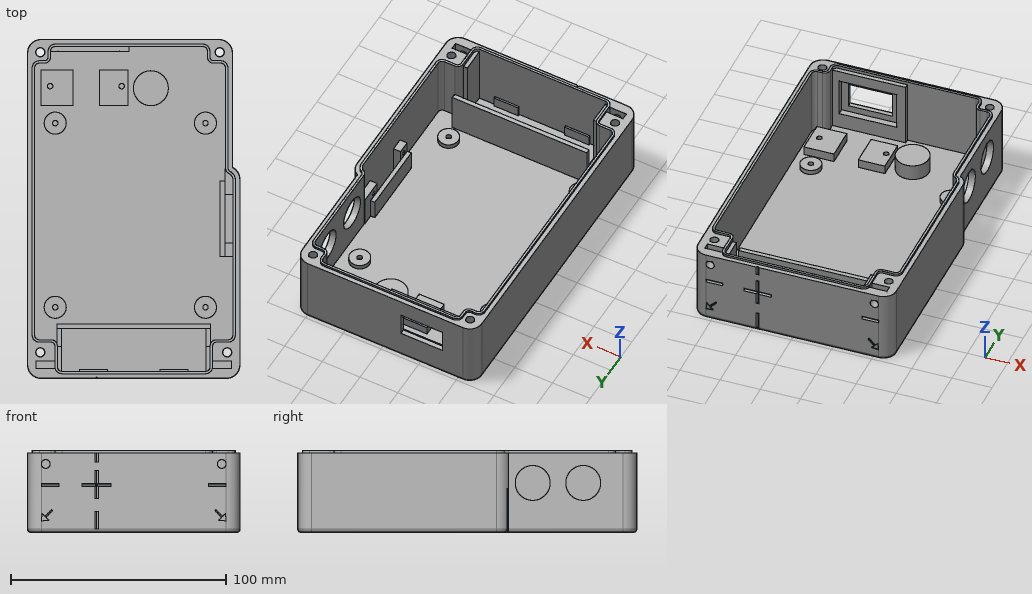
import cadquery as cq
import math

WIDTH = 98.7
LENGTH = 157.5
HEIGHT = 38.1
CORNER_RADIUS = 6.5
BOTTOM_FILLET = 1.5

LEFT = -WIDTH / 2
RIGHT = WIDTH / 2
FRONT = -LENGTH / 2
BACK = LENGTH / 2

STEP_DEPTH = 3.5
STEP_ARC_CENTER_Y = BACK - 65.2
BACK_RIGHT = RIGHT - STEP_DEPTH

LIP_HEIGHT = 1.1
LIP_INSET = 2.2
LIP_WIDTH = 1.13
RIM_Z = HEIGHT - LIP_HEIGHT
WALL = LIP_INSET + LIP_WIDTH
FLOOR_Z = 4.0
LIP_CORNER_RADIUS = 3.3
POST_RADIUS = 1.7

BACK_POST_LENGTH = 9.9
BACK_LEFT_POST_WIDTH = 9.6
BACK_RIGHT_POST_WIDTH = 10.5
FRONT_POST_LENGTH = 16.9
FRONT_POST_WIDTH = 12.8
SCREW_HOLE_DIAMETER = 4.1
SCREW_HOLE_INSET = 6.0
FRONT_SCREW_Y = FRONT + 12.1

SLOT_INSET = 4.1
SLOT_NEAR = 4.7
SLOT_FAR = 8.0
SLOT_DEPTH = 7.9
FACE_HOLE_DIAMETER = 4.1
FACE_HOLE_INSET = 8.5
FACE_HOLE_Z = 31.8

FRAME_LEFT = LEFT + BACK_LEFT_POST_WIDTH
FRAME_RIGHT = LEFT + 47.2
FRAME_THICKNESS = 2.2
FRAME_TOP_Z = 36.5
WINDOW_LEFT = LEFT + 17.5
WINDOW_RIGHT = LEFT + 39.4
WINDOW_BOTTOM_Z = 15.1
WINDOW_TOP_Z = 27.7
REBATE_MARGIN = 3.3
REBATE_DEPTH = 3.1

SIDE_HOLE_DIAMETER = 16.2
SIDE_HOLE_Z = 23.0
SIDE_HOLE_YS = (BACK - 24.9, BACK - 48.3)

STANDOFF_DIAMETER = 10.2
STANDOFF_TOP_Z = 6.3
PILOT_DIAMETER = 2.5
STANDOFF_XS = (LEFT + 12.9, LEFT + 82.7)
STANDOFF_YS = (FRONT + 33.0, BACK - 38.9)
ROUND_BOSS_DIAMETER = 16.2
ROUND_BOSS_X = LEFT + 57.3
ROUND_BOSS_Y = BACK - 22.7
ROUND_BOSS_TOP_Z = 12.0
PAD_LENGTH = 16.5
PAD_BACK_Y = BACK - 14.2
PAD_TOP_Z = 8.3
PAD_HOLE_Y = BACK - 21.7
PADS = ((6.3, 15.0, 10.5), (33.4, 13.2, 43.8))

BRACKET_FRONT_Y = FRONT + 56.7
BRACKET_BACK_Y = BACK - 65.7
BRACKET_PLATE_X = LEFT + 89.5
BRACKET_POST_X = LEFT + 91.7
BRACKET_PLATE_TOP_Z = 14.6
BRACKET_POST_TOP_Z = 20.5
BRACKET_POST_LENGTH = 6.3
BRACKET_BACK_POST_END_Y = BACK - 60.2
BRACKET_HOLE_DIAMETER = 2.0
BRACKET_HOLE_DEPTH = 3.1
BRACKET_HOLE_Z = 16.5

COMPARTMENT_HALF_WIDTH = WIDTH / 2 - 13.7
COMPARTMENT_WALL = 2.2
COMPARTMENT_BACK_Y = FRONT + 25.4
COMPARTMENT_BACK_TOP_Z = 24.9
COMPARTMENT_SIDE_TOP_Z = 9.5
LEDGE_BACK_Y = FRONT + 14.8
LEDGE_TOP_Z = 36.2
STOP_THICKNESS = 1.0
STOP_WIDTH = 12.9
STOP_CENTER_OFFSET = 18.7

MARK_WIDTH = 1.5
MARK_DEPTH = 0.6
CROSS_X = LEFT + 32.1
CROSS_Z = 22.0
CROSS_HALF_WIDTH = 6.8
EDGE_MARK_INSET = 14.6
VERTICAL_MARKS = ((BOTTOM_FILLET, 9.8), (15.7, 28.8), (32.8, RIM_Z))
ARROW_TIP_Z = 5.4
ARROW_LENGTH = 7.1
ARROW_HEAD_LENGTH = 2.7
ARROW_HEAD_HALF_WIDTH = 2.2
ARROW_SHAFT_HALF_WIDTH = 0.3
ARROW_DEPTH = 0.3


def block(x_range, y_range, z_range):
    """Box between the given limits."""
    x0, x1 = x_range
    y0, y1 = y_range
    z0, z1 = z_range
    return cq.Workplane("XY").box(x1 - x0, y1 - y0, z1 - z0, centered=False).translate((x0, y0, z0))


def cylinder(diameter, x, y, z_range):
    """Upright cylinder between two heights."""
    z0, z1 = z_range
    return cq.Workplane("XY").workplane(offset=z0).center(x, y).circle(diameter / 2).extrude(z1 - z0)


def outline(plane_z):
    """Outer outline: rounded corners and an arc where the right wall steps out."""
    r = CORNER_RADIUS
    diagonal = r * (1 - math.sqrt(0.5))
    arc_center_x = RIGHT - r
    step_angle = math.acos((BACK_RIGHT - arc_center_x) / r)
    step_y = STEP_ARC_CENTER_Y + r * math.sin(step_angle)
    step_mid = (
        arc_center_x + r * math.cos(step_angle / 2),
        STEP_ARC_CENTER_Y + r * math.sin(step_angle / 2),
    )
    return (
        cq.Workplane("XY")
        .workplane(offset=plane_z)
        .moveTo(LEFT + r, FRONT)
        .lineTo(RIGHT - r, FRONT)
        .threePointArc((RIGHT - diagonal, FRONT + diagonal), (RIGHT, FRONT + r))
        .lineTo(RIGHT, STEP_ARC_CENTER_Y)
        .threePointArc(step_mid, (BACK_RIGHT, step_y))
        .lineTo(BACK_RIGHT, BACK - r)
        .threePointArc((BACK_RIGHT - diagonal, BACK - diagonal), (BACK_RIGHT - r, BACK))
        .lineTo(LEFT + r, BACK)
        .threePointArc((LEFT + diagonal, BACK - diagonal), (LEFT, BACK - r))
        .lineTo(LEFT, FRONT + r)
        .threePointArc((LEFT + diagonal, FRONT + diagonal), (LEFT + r, FRONT))
        .close()
    )


def lip_prism():
    """Prism inside the outer side of the lip, going around the four screw posts."""
    prism = outline(FLOOR_Z).offset2D(-LIP_INSET).extrude(HEIGHT - FLOOR_Z)
    posts = (
        (LEFT, FRONT, 1, 1, FRONT_POST_WIDTH, FRONT_POST_LENGTH),
        (RIGHT, FRONT, -1, 1, FRONT_POST_WIDTH, FRONT_POST_LENGTH),
        (LEFT, BACK, 1, -1, BACK_LEFT_POST_WIDTH, BACK_POST_LENGTH),
        (BACK_RIGHT, BACK, -1, -1, BACK_RIGHT_POST_WIDTH, BACK_POST_LENGTH),
    )
    for x, y, x_in, y_in, width, length in posts:
        post_x = x + x_in * width
        post_y = y + y_in * length
        post = block(sorted((x, post_x)), sorted((y, post_y)), (0, HEIGHT))
        prism = prism.cut(post)
        for edge_x, edge_y, radius in (
            (post_x, post_y, POST_RADIUS),
            (post_x, y + y_in * LIP_INSET, LIP_CORNER_RADIUS),
            (x + x_in * LIP_INSET, post_y, LIP_CORNER_RADIUS),
        ):
            edge = cq.selectors.NearestToPointSelector((edge_x, edge_y, (FLOOR_Z + HEIGHT) / 2))
            prism = prism.edges("|Z").edges(edge).fillet(radius)
    return prism


def window_frame():
    """Thickened part of the back wall around the window."""
    back_inner_y = BACK - WALL
    return block((FRAME_LEFT, FRAME_RIGHT), (back_inner_y - FRAME_THICKNESS, BACK - LIP_INSET),
                 (FLOOR_Z, FRAME_TOP_Z))


def window_opening():
    """Window through the back wall, with a wider rebate on its inner side."""
    frame_face_y = BACK - WALL - FRAME_THICKNESS
    opening = block((WINDOW_LEFT, WINDOW_RIGHT), (frame_face_y, BACK), (WINDOW_BOTTOM_Z, WINDOW_TOP_Z))
    rebate = block(
        (WINDOW_LEFT - REBATE_MARGIN, WINDOW_RIGHT + REBATE_MARGIN),
        (frame_face_y, frame_face_y + REBATE_DEPTH),
        (WINDOW_BOTTOM_Z - REBATE_MARGIN, WINDOW_TOP_Z + REBATE_MARGIN),
    )
    return opening.union(rebate)


def side_openings():
    """Round openings through the right wall."""
    return (
        cq.Workplane("YZ")
        .workplane(offset=BACK_RIGHT - 2 * WALL)
        .pushPoints([(y, SIDE_HOLE_Z) for y in SIDE_HOLE_YS])
        .circle(SIDE_HOLE_DIAMETER / 2)
        .extrude(3 * WALL)
    )


def floor_features():
    """Standoffs, a round boss and two square pads, with pilot holes down to the floor."""
    solids = cylinder(ROUND_BOSS_DIAMETER, ROUND_BOSS_X, ROUND_BOSS_Y, (0, ROUND_BOSS_TOP_Z))
    for x in STANDOFF_XS:
        for y in STANDOFF_YS:
            standoff = cylinder(STANDOFF_DIAMETER, x, y, (0, STANDOFF_TOP_Z))
            pilot = cylinder(PILOT_DIAMETER, x, y, (FLOOR_Z, STANDOFF_TOP_Z))
            solids = solids.union(standoff.cut(pilot))
    for left, width, hole_x in PADS:
        x = LEFT + left
        pad = block((x, x + width), (PAD_BACK_Y - PAD_LENGTH, PAD_BACK_Y), (0, PAD_TOP_Z))
        pilot = cylinder(PILOT_DIAMETER, LEFT + hole_x, PAD_HOLE_Y, (FLOOR_Z, PAD_TOP_Z))
        solids = solids.union(pad.cut(pilot))
    return solids


def bracket():
    """Low plate in front of two posts, each post with a small blind hole facing the cavity."""
    wall_x = RIGHT - LIP_INSET
    front_post_end = BRACKET_FRONT_Y + BRACKET_POST_LENGTH
    back_post_start = BRACKET_BACK_Y - BRACKET_POST_LENGTH
    post_z = (0, BRACKET_POST_TOP_Z)
    post_x = (BRACKET_POST_X, wall_x)
    plate = block((BRACKET_PLATE_X, BRACKET_POST_X), (BRACKET_FRONT_Y, BRACKET_BACK_Y),
                  (0, BRACKET_PLATE_TOP_Z))
    front_post = block(post_x, (BRACKET_FRONT_Y, front_post_end), post_z)
    back_post = block(post_x, (back_post_start, BRACKET_BACK_POST_END_Y), post_z)
    hole_ys = (
        (BRACKET_FRONT_Y + front_post_end) / 2,
        (back_post_start + BRACKET_BACK_Y) / 2,
    )
    holes = (
        cq.Workplane("YZ")
        .workplane(offset=BRACKET_POST_X)
        .pushPoints([(y, BRACKET_HOLE_Z) for y in hole_ys])
        .circle(BRACKET_HOLE_DIAMETER / 2)
        .extrude(BRACKET_HOLE_DEPTH)
    )
    return plate.union(front_post).union(back_post).cut(holes)


def compartment():
    """Wall parallel to the front wall, low side walls, side ledges and two stops."""
    front_y = FRONT + LIP_INSET
    back_wall_y = COMPARTMENT_BACK_Y - COMPARTMENT_WALL
    stop_y = FRONT + WALL + STOP_THICKNESS
    solids = block((-COMPARTMENT_HALF_WIDTH, COMPARTMENT_HALF_WIDTH), (back_wall_y, COMPARTMENT_BACK_Y),
                   (0, COMPARTMENT_BACK_TOP_Z))
    for side in (-1, 1):
        side_x = sorted((side * COMPARTMENT_HALF_WIDTH, side * (COMPARTMENT_HALF_WIDTH - COMPARTMENT_WALL)))
        solids = solids.union(block(side_x, (front_y, COMPARTMENT_BACK_Y), (0, COMPARTMENT_SIDE_TOP_Z)))
        solids = solids.union(block(side_x, (front_y, LEDGE_BACK_Y), (0, LEDGE_TOP_Z)))
        stop_x = side * STOP_CENTER_OFFSET
        stop = block((stop_x - STOP_WIDTH / 2, stop_x + STOP_WIDTH / 2), (front_y, stop_y),
                     (0, COMPARTMENT_SIDE_TOP_Z))
        solids = solids.union(stop)
    return solids


def post_holes():
    """Screw holes through all posts, and the slots and face holes of the front posts."""
    screw_places = (
        (LEFT + SCREW_HOLE_INSET, FRONT_SCREW_Y),
        (RIGHT - SCREW_HOLE_INSET, FRONT_SCREW_Y),
        (LEFT + SCREW_HOLE_INSET, BACK - SCREW_HOLE_INSET),
        (BACK_RIGHT - SCREW_HOLE_INSET, BACK - SCREW_HOLE_INSET),
    )
    cuts = cq.Workplane("XY").pushPoints(screw_places).circle(SCREW_HOLE_DIAMETER / 2).extrude(HEIGHT)
    for side in (-1, 1):
        slot_x = sorted((side * (RIGHT - SLOT_INSET), side * (RIGHT - FRONT_POST_WIDTH)))
        slot = block(slot_x, (FRONT + SLOT_NEAR, FRONT + SLOT_FAR), (RIM_Z - SLOT_DEPTH, RIM_Z))
        face_hole = (
            cq.Workplane("XZ", origin=(0, FRONT, 0))
            .center(side * (RIGHT - FACE_HOLE_INSET), FACE_HOLE_Z)
            .circle(FACE_HOLE_DIAMETER / 2)
            .extrude(-SLOT_FAR)
        )
        cuts = cuts.union(slot).union(face_hole)
    return cuts


def horizontal_mark(x0, x1):
    """Horizontal V groove in the front face."""
    half = MARK_WIDTH / 2
    return (
        cq.Workplane("YZ", origin=(x0, FRONT, CROSS_Z))
        .polyline([(0, -half), (MARK_DEPTH, 0), (0, half)])
        .close()
        .extrude(x1 - x0)
    )


def vertical_mark(z0, z1):
    """Vertical V groove in the front face."""
    half = MARK_WIDTH / 2
    return (
        cq.Workplane("XY", origin=(CROSS_X, FRONT, z0))
        .polyline([(-half, 0), (0, MARK_DEPTH), (half, 0)])
        .close()
        .extrude(z1 - z0)
    )


def corner_arrow():
    """Arrow pointing down at 45 degrees to the left end of the flat front face."""
    shaft = ARROW_SHAFT_HALF_WIDTH
    head = ARROW_HEAD_HALF_WIDTH
    points = [
        (0, 0),
        (ARROW_HEAD_LENGTH, head),
        (ARROW_HEAD_LENGTH, shaft),
        (ARROW_LENGTH, shaft),
        (ARROW_LENGTH, -shaft),
        (ARROW_HEAD_LENGTH, -shaft),
        (ARROW_HEAD_LENGTH, -head),
    ]
    tip = (LEFT + CORNER_RADIUS, FRONT, ARROW_TIP_Z)
    return (
        cq.Workplane("XZ", origin=tip)
        .transformed(rotate=(0, 0, 45))
        .polyline(points)
        .close()
        .extrude(-ARROW_DEPTH)
    )


def front_marks():
    """Broken centre cross, short marks at both ends and an arrow at each lower corner."""
    flat_end = RIGHT - CORNER_RADIUS
    mark_end = RIGHT - EDGE_MARK_INSET
    marks = horizontal_mark(CROSS_X - CROSS_HALF_WIDTH, CROSS_X + CROSS_HALF_WIDTH)
    marks = marks.union(horizontal_mark(-flat_end, -mark_end))
    marks = marks.union(horizontal_mark(mark_end, flat_end))
    for z0, z1 in VERTICAL_MARKS:
        marks = marks.union(vertical_mark(z0, z1))
    arrow = corner_arrow()
    return marks.union(arrow).union(arrow.mirror("YZ"))


body = outline(0).extrude(RIM_Z).faces("<Z").edges().fillet(BOTTOM_FILLET)
lip = lip_prism()
body = body.union(lip)

lip_edge = lip.faces(">Z").wires().val()
cavity_outline = lip_edge.offset2D(-LIP_WIDTH)[0]
cavity = cq.Workplane("XY").add(cavity_outline).toPending().extrude(FLOOR_Z - HEIGHT)
body = body.cut(cavity)

body = body.union(window_frame()).cut(window_opening()).cut(side_openings())
body = body.union(floor_features()).union(bracket()).union(compartment())

result = body.cut(post_holes()).cut(front_marks())